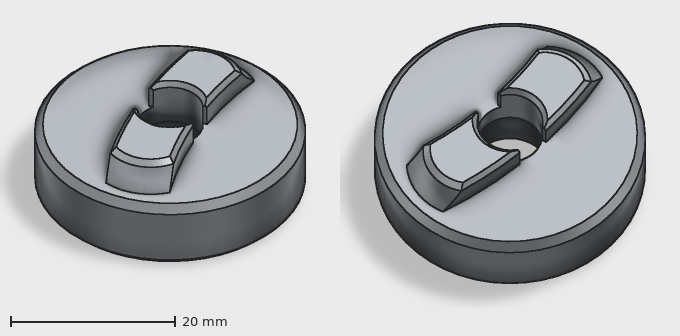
import cadquery as cq
import math

base_diameter = 33.0
base_height = 9.0
base_chamfer = 1.0
hole_diameter = 8.0
relief_depth = 2.6
relief_step = 1.0

lug_height = 3.2
lug_chamfer = 0.6
band_radius = 49.5
band_width = hole_diameter
band_tilt = -7.4
lug_start_angle = 2.4
lug_end_angle = 7.4
lug_sweep_limit = 20.0

end_base_radius = 7.8
end_shoulder_radius = 5.78
end_top_radius = 4.92
flare_sag = 0.13

shoulder_height = lug_height - lug_chamfer


def make_base():
    disc = cq.Workplane("XY").circle(base_diameter / 2).extrude(base_height)
    return disc.faces("<Z or >Z").edges().chamfer(base_chamfer)


def band_segment(from_angle, to_angle):
    """Curved bar with chamfered top edges, swept about the band centre."""
    inner = -band_width / 2
    outer = band_width / 2
    section = (
        cq.Workplane("XZ")
        .moveTo(inner, 0)
        .lineTo(outer, 0)
        .lineTo(outer, shoulder_height)
        .lineTo(outer - lug_chamfer, lug_height)
        .lineTo(inner + lug_chamfer, lug_height)
        .lineTo(inner, shoulder_height)
        .close()
    )
    bar = section.revolve(to_angle - from_angle, (band_radius, 0, 0), (band_radius, -1, 0))
    band_centre = (band_radius, 0, 0)
    return bar.rotate(band_centre, (band_radius, 0, 1), -from_angle)


def flared_end():
    """Round body with a hollow flare, centred on the outer end of the lug."""
    run = end_base_radius - end_shoulder_radius
    chord = math.hypot(run, shoulder_height)
    flare_middle = (
        (end_base_radius + end_shoulder_radius) / 2 - flare_sag * shoulder_height / chord,
        shoulder_height / 2 - flare_sag * run / chord,
    )
    body = (
        cq.Workplane("XZ")
        .lineTo(end_base_radius, 0)
        .threePointArc(flare_middle, (end_shoulder_radius, shoulder_height))
        .lineTo(end_top_radius, lug_height)
        .lineTo(0, lug_height)
        .close()
        .revolve(360, (0, 0, 0), (0, 1, 0))
    )
    end_angle = math.radians(lug_end_angle)
    end_x = band_radius * (1 - math.cos(end_angle))
    end_y = band_radius * math.sin(end_angle)
    return body.translate((end_x, end_y, 0))


def make_lug():
    straight = band_segment(lug_start_angle, lug_end_angle)
    rounded = band_segment(lug_end_angle, lug_sweep_limit).intersect(flared_end())
    return straight.union(rounded)


def hole_cutter():
    """Through hole, wider at the bottom and countersunk at the top of the lugs."""
    hole_radius = hole_diameter / 2
    relief_radius = hole_radius + relief_step
    relief_top = base_height - relief_depth
    top = base_height + lug_height
    return (
        cq.Workplane("XZ")
        .lineTo(relief_radius, 0)
        .lineTo(relief_radius, relief_top - relief_step)
        .lineTo(hole_radius, relief_top)
        .lineTo(hole_radius, top - lug_chamfer)
        .lineTo(hole_radius + lug_chamfer, top)
        .lineTo(0, top)
        .close()
        .revolve(360, (0, 0, 0), (0, 1, 0))
    )


lug = make_lug()
lugs = lug.union(lug.mirror("XZ")).rotate((0, 0, 0), (0, 0, 1), band_tilt)
result = make_base().union(lugs.translate((0, 0, base_height))).cut(hole_cutter())